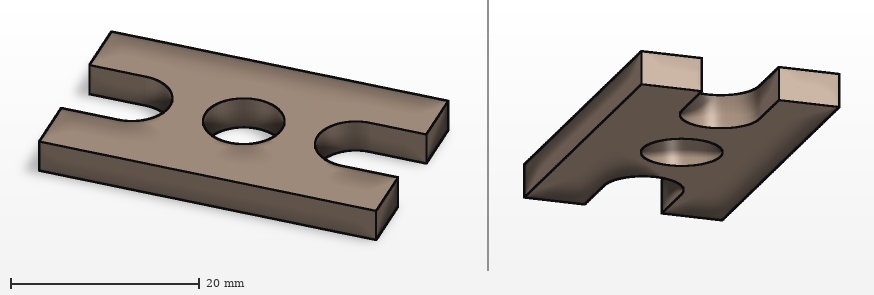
import cadquery as cq

length = 38.1
width = 22.2
thickness = 3.75

hole_diameter = 8.65
slot_depth = 10.7


def end_slot(side):
    """Round-bottomed slot open at the end face; side is -1 or +1 along X."""
    slot_length = 2 * slot_depth + hole_diameter
    center_x = side * (length / 2 - slot_depth + slot_length / 2)
    return (
        cq.Workplane("XY")
        .center(center_x, 0)
        .slot2D(slot_length, hole_diameter)
        .extrude(thickness)
    )


plate = cq.Workplane("XY").box(length, width, thickness, centered=(True, True, False))
result = plate.faces(">Z").workplane().hole(hole_diameter)

for side in (-1, 1):
    result = result.cut(end_slot(side))